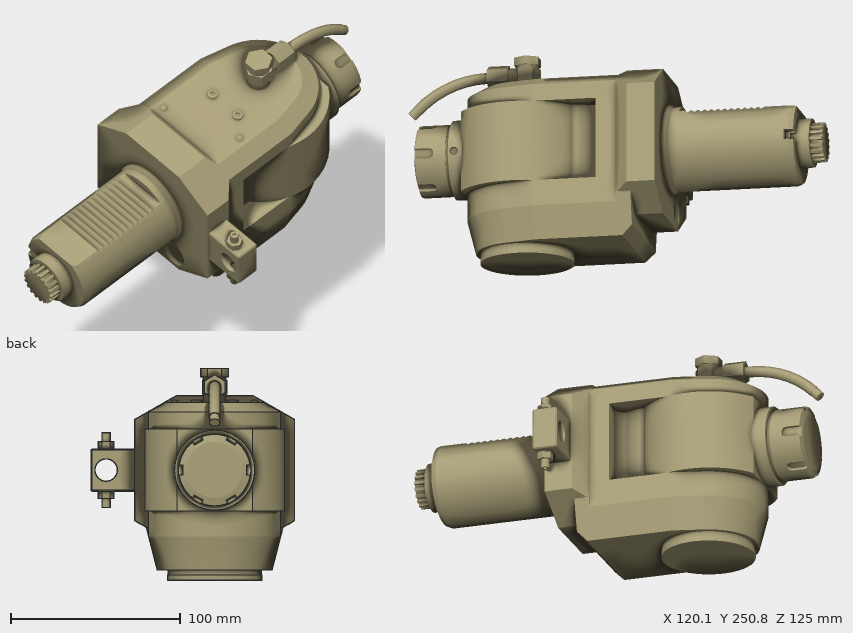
import cadquery as cq
import math


flange_half_width = 47.1
flange_half_height = 43.9
flange_flat_half_width = 22.5
flange_side_half_height = 29.8
plug_hole_x = 18.3
plug_hole_z = -32.3
plug_hole_radius = 8.8
plug_hole_depth = 2.5

body_back_y = 25.3
body_half_width = 38.9
body_kink_y = 75.5
body_axis_y = 86.0
nose_radius = 35.3
body_top_z = 39.9
body_bottom_z = -59.0
top_bevel_inset = 9.8
bottom_taper_top_z = -39.4
bottom_taper_inset = 5.0
foot_back_y = 16.0
foot_chamfer = 6.0
cover_radius = 27.8
cover_height = 6.0
cover_rim_height = 3.0
cover_rim_step = 0.3

drum_axis_y = 86.7
drum_radius = 41.0
drum_half_height = 24.0
pocket_back_y = 37.0
pocket_fillet = 5.5
pocket_corner_x = 22.0
pocket_wall_x = 25.0
pocket_wall_y = 50.1

spindle_ring_radius = 23.5
spindle_ring_end_y = 129.0
spindle_neck_radius = 20.5
nut_start_y = 131.0
nut_end_y = 150.7
nut_radius = 21.3
nut_face_radius = 16.5
nut_bevel_radius = 21.0
nut_bevel_length = 1.3
nut_edge_taper_length = 1.3
nut_slot_count = 6
nut_slot_width = 6.0
nut_slot_depth = 2.5
nut_slot_end_y = 138.4
pin_hole_y = 125.5
pin_hole_radius = 2.5
pin_hole_depth = 2.5

shank_radius = 25.0
shank_length = 78.5
shank_chamfer_length = 3.0
shank_chamfer_depth = 1.3
collar_radius = 26.3
collar_length = 2.0
collar_taper_end_y = -3.5
flat_z = 19.5
flat_start_y = -8.3
rack_count = 12
rack_pitch = 4.0
rack_first_y = -13.8
rack_groove_half_width = 1.8
rack_groove_depth = 1.5
boss_radius = 14.5
boss_length = 7.5
spline_length = 7.3
spline_root_radius = 10.0
spline_tip_radius = 11.8
spline_tooth_count = 18
spline_tooth_width = 1.8
key_slot_width = 6.0
key_slot_length = 5.5
key_slot_floor_x = 17.8
key_step_width = 4.5
key_step_length = 3.0

bracket_end_x = 73.0
bracket_half_height = 12.5
bracket_start_y = 1.0
bracket_end_y = 16.0
bracket_chamfer = 0.8
bracket_hole_x = 64.0
bracket_hole_radius = 6.5
set_screw_y = 6.0
set_screw_radius = 2.5
set_screw_tip_z = 22.0
set_screw_inner_z = 8.8
set_screw_socket_diameter = 2.5
set_screw_socket_depth = 1.5
set_nut_corner_radius = 4.8
set_nut_height = 4.3

fitting_top_z = 60.0
fitting_neck_radius = 6.8
hex_corner_radius = 8.3
fitting_hex_start_z = 44.9
fitting_hex_end_z = 53.0
fitting_hex_turn = 30.0
fitting_cap_height = 5.0
hose_z = 49.1
hose_neck_radius = 5.0
hose_nut_start_y = 96.8
hose_nut_end_y = 109.3
hose_nut_corner_radius = 7.0
hose_radius = 3.3
hose_bend_start_y = 109.8
hose_bend_radius = 59.0
hose_bend_angle = 45.5
hose_tip_radius = 3.0
hose_tip_length = 5.0

cap_screw_x = 10.8
cap_screw_y = 59.0
cap_screw_radius = 3.3
cap_screw_height = 1.5
cap_screw_fillet = 1.0
cap_screw_socket_diameter = 3.5
cap_screw_socket_depth = 1.0
pin_places = [(23.5, 48.5), (-23.5, 31.3)]
pin_radius = 2.5
pin_height = 1.5


def rod(start, length, radius, direction):
    """Cylinder from a start point along a direction."""
    return cq.Workplane(cq.Solid.makeCylinder(radius, length, cq.Vector(*start), cq.Vector(*direction)))


def y_rod(start_y, end_y, radius):
    """Cylinder on the Y axis."""
    return rod((0, start_y, 0), end_y - start_y, radius, (0, 1, 0))


def y_prism(points, start_y, end_y):
    """Prism of an (x, z) outline between two Y values."""
    plane = cq.Workplane("XZ", origin=(0, start_y, 0))
    return plane.polyline(points).close().extrude(start_y - end_y)


def z_hexagon(x, y, start_z, end_z, corner_radius, turn=0.0):
    """Upright hexagonal prism with a corner at the given angle from +X."""
    base = cq.Workplane("XY").polygon(6, 2 * corner_radius).extrude(end_z - start_z)
    return base.rotate((0, 0, 0), (0, 0, 1), turn).translate((x, y, start_z))


def make_flange():
    bevel_x = flange_half_width - body_half_width
    bevel_z = flange_half_height - body_top_z
    w, h = flange_half_width, flange_half_height
    octagon = [
        (w, flange_side_half_height), (flange_flat_half_width, h),
        (-flange_flat_half_width, h), (-w, flange_side_half_height),
        (-w, -flange_side_half_height), (-flange_flat_half_width, -h),
        (flange_flat_half_width, -h), (w, -flange_side_half_height),
    ]
    prism = y_prism(octagon, 0, body_back_y)
    plan = (
        cq.Workplane("XY", origin=(0, 0, -h))
        .polyline([(-w, 0), (w, 0), (w, body_back_y - bevel_x), (w - bevel_x, body_back_y),
                   (bevel_x - w, body_back_y), (-w, body_back_y - bevel_x)])
        .close().extrude(2 * h)
    )
    side = (
        cq.Workplane("YZ", origin=(-w, 0, 0))
        .polyline([(0, -h), (0, h), (body_back_y - bevel_z, h), (body_back_y, h - bevel_z),
                   (body_back_y, bevel_z - h), (body_back_y - bevel_z, -h)])
        .close().extrude(2 * w)
    )
    return prism.intersect(plan).intersect(side)


def body_wire(z, inset):
    """Arched body outline at a height, offset inward at the sides and nose by the inset.

    The slanted sides run from the kink to their tangent points on the nose arc.
    """
    kink_x = body_half_width
    kink_dy = body_kink_y - body_axis_y
    kink_distance = math.hypot(kink_x, kink_dy)
    normal = math.atan2(kink_dy, kink_x) + math.acos(nose_radius / kink_distance)
    radius = nose_radius - inset
    tangent_x = radius * math.cos(normal)
    tangent_y = body_axis_y + radius * math.sin(normal)
    side_x = body_half_width - inset
    side_y = body_axis_y + (radius - side_x * math.cos(normal)) / math.sin(normal)
    return (
        cq.Workplane("XY", origin=(0, 0, z))
        .moveTo(-side_x, body_back_y)
        .lineTo(side_x, body_back_y)
        .lineTo(side_x, side_y)
        .lineTo(tangent_x, tangent_y)
        .threePointArc((0, body_axis_y + radius), (-tangent_x, tangent_y))
        .lineTo(-side_x, side_y)
        .close()
    ).wires().val()


def make_body():
    slope = (flange_half_height - flange_side_half_height) / (flange_half_width - flange_flat_half_width)
    bevel_z = body_top_z - top_bevel_inset * slope
    levels = [
        (body_bottom_z, bottom_taper_inset),
        (bottom_taper_top_z, 0),
        (bevel_z, 0),
        (body_top_z, top_bevel_inset),
    ]
    wires = [body_wire(z, inset) for z, inset in levels]
    body = cq.Workplane(cq.Solid.makeLoft(wires[:2], True))
    for lower, upper in zip(wires[1:], wires[2:]):
        body = body.union(cq.Workplane(cq.Solid.makeLoft([lower, upper], True)))

    taper = bottom_taper_inset / (bottom_taper_top_z - body_bottom_z)
    diagonal_drop = flange_side_half_height + bottom_taper_top_z + slope * (flange_half_width - body_half_width)
    rise = -diagonal_drop / (1 - slope * taper)
    foot_top_z = bottom_taper_top_z + rise
    foot_top_x = body_half_width + rise * taper
    foot_bottom_x = body_half_width - bottom_taper_inset
    outline = [
        (-foot_top_x, foot_top_z), (foot_top_x, foot_top_z),
        (foot_bottom_x, body_bottom_z), (-foot_bottom_x, body_bottom_z),
    ]
    foot = y_prism(outline, foot_back_y, body_back_y)
    foot = foot.faces("<Y").edges("<Z").chamfer(foot_chamfer)

    rim_z = body_bottom_z - cover_height
    cover = rod((0, body_axis_y, rim_z), cover_height, cover_radius - cover_rim_step, (0, 0, 1))
    rim = rod((0, body_axis_y, rim_z), cover_rim_height, cover_radius, (0, 0, 1))
    return body.union(foot).union(cover).union(rim)


def make_pocket():
    """Recess in the -X side wall, running from its back wall into the drum."""
    outer_x = drum_radius
    fillet_x = pocket_corner_x + pocket_fillet
    fillet_y = pocket_back_y + pocket_fillet
    diagonal = pocket_fillet * math.sqrt(0.5)
    return (
        cq.Workplane("XY", origin=(0, 0, -drum_half_height))
        .moveTo(-outer_x, pocket_back_y)
        .lineTo(-fillet_x, pocket_back_y)
        .threePointArc((-fillet_x + diagonal, fillet_y - diagonal), (-pocket_corner_x, fillet_y))
        .lineTo(-pocket_wall_x, pocket_wall_y)
        .lineTo(-pocket_wall_x, drum_axis_y)
        .lineTo(-outer_x, drum_axis_y)
        .close()
        .extrude(2 * drum_half_height)
    )


def make_drum():
    """Drum cut flat where the spindle leaves the nose."""
    drum = rod((0, drum_axis_y, -drum_half_height), 2 * drum_half_height, drum_radius, (0, 0, 1))
    nose_y = body_axis_y + nose_radius
    limit = cq.Workplane("XY").box(2 * drum_radius, nose_y, 2 * drum_half_height, centered=(True, False, True))
    return drum.intersect(limit)


def make_spindle():
    ring = y_rod(body_axis_y, spindle_ring_end_y, spindle_ring_radius)
    pin_hole = rod((-spindle_ring_radius, pin_hole_y, 0), pin_hole_depth, pin_hole_radius, (1, 0, 0))
    neck = y_rod(body_axis_y, nut_start_y, spindle_neck_radius)
    bevel_y = nut_end_y - nut_bevel_length
    nut = (
        cq.Workplane("XY")
        .polyline([(0, nut_start_y), (nut_radius, nut_start_y),
                   (nut_radius, bevel_y - nut_edge_taper_length), (nut_bevel_radius, bevel_y),
                   (nut_face_radius, nut_end_y), (0, nut_end_y)])
        .close()
        .revolve(360, (0, 0, 0), (0, 1, 0))
    )
    slot_floor = nut_radius - nut_slot_depth
    half_width = nut_slot_width / 2
    slot = (
        cq.Workplane("YZ", origin=(slot_floor, 0, 0))
        .moveTo(nut_end_y, -half_width)
        .lineTo(nut_slot_end_y + half_width, -half_width)
        .threePointArc((nut_slot_end_y, 0), (nut_slot_end_y + half_width, half_width))
        .lineTo(nut_end_y, half_width)
        .close()
        .extrude(2 * nut_slot_depth)
    )
    for i in range(nut_slot_count):
        nut = nut.cut(slot.rotate((0, 0, 0), (0, 1, 0), i * 360 / nut_slot_count))
    return ring.cut(pin_hole).union(neck).union(nut)


def make_shank():
    end_y = -shank_length
    shank = (
        cq.Workplane("XY")
        .polyline([(0, 0), (collar_radius, 0), (collar_radius, -collar_length),
                   (shank_radius, collar_taper_end_y), (shank_radius, end_y + shank_chamfer_length),
                   (shank_radius - shank_chamfer_depth, end_y), (0, end_y)])
        .close()
        .revolve(360, (0, 0, 0), (0, 1, 0))
    )
    flat_length = flat_start_y - end_y
    flat_cut = cq.Workplane("XY").box(
        2 * shank_radius, flat_length, shank_radius, centered=(True, False, False)
    )
    shank = shank.cut(flat_cut.translate((0, end_y, flat_z)))
    for i in range(rack_count):
        y = rack_first_y - i * rack_pitch
        groove = (
            cq.Workplane("YZ", origin=(-shank_radius, 0, 0))
            .polyline([(y - rack_groove_half_width, flat_z), (y, flat_z - rack_groove_depth),
                       (y + rack_groove_half_width, flat_z)])
            .close()
            .extrude(2 * shank_radius)
        )
        shank = shank.cut(groove)
    key_slot = cq.Workplane("XY").box(
        shank_radius - key_slot_floor_x, key_slot_length, key_slot_width, centered=(False, False, True)
    )
    key_step = cq.Workplane("XY").box(
        key_slot_floor_x, key_step_length, key_step_width, centered=(False, False, True)
    )
    shank = shank.cut(key_slot.translate((-shank_radius, end_y, 0)))
    shank = shank.cut(key_step.translate((-key_slot_floor_x, end_y, 0)))

    boss_end_y = end_y - boss_length
    spline_end_y = boss_end_y - spline_length
    drive = y_rod(boss_end_y, end_y + key_slot_length, boss_radius)
    drive = drive.union(y_rod(spline_end_y, boss_end_y, spline_root_radius))
    tooth_base = spline_root_radius / 2
    tooth = cq.Workplane("XY").box(
        spline_tip_radius - tooth_base, spline_length, spline_tooth_width, centered=(False, False, True)
    ).translate((tooth_base, spline_end_y, 0))
    for i in range(spline_tooth_count):
        drive = drive.union(tooth.rotate((0, 0, 0), (0, 1, 0), i * 360 / spline_tooth_count))
    return shank.union(drive)


def make_bracket():
    bracket = (
        cq.Workplane("XY")
        .box(bracket_end_x - flange_half_width, bracket_end_y - bracket_start_y, 2 * bracket_half_height,
             centered=(False, False, True))
        .translate((flange_half_width, bracket_start_y, 0))
        .edges("|X or >X").chamfer(bracket_chamfer)
    )
    bracket = bracket.cut(rod((bracket_hole_x, 0, 0), bracket_end_y, bracket_hole_radius, (0, 1, 0)))
    thread_start = (bracket_hole_x, set_screw_y, -bracket_half_height)
    bracket = bracket.cut(rod(thread_start, 2 * bracket_half_height, set_screw_radius, (0, 0, 1)))
    for side in (1, -1):
        start = (bracket_hole_x, set_screw_y, side * set_screw_inner_z)
        screw = rod(start, set_screw_tip_z - set_screw_inner_z, set_screw_radius, (0, 0, side))
        nut = z_hexagon(bracket_hole_x, set_screw_y, bracket_half_height,
                        bracket_half_height + set_nut_height, set_nut_corner_radius)
        socket = (
            cq.Workplane("XY", origin=(bracket_hole_x, set_screw_y, set_screw_tip_z))
            .polygon(6, set_screw_socket_diameter).extrude(-set_screw_socket_depth)
        )
        if side < 0:
            nut = nut.mirror("XY")
            socket = socket.mirror("XY")
        bracket = bracket.union(nut).union(screw).cut(socket)
    return bracket


def make_fitting():
    post = rod((0, body_axis_y, body_top_z), fitting_top_z - body_top_z, fitting_neck_radius, (0, 0, 1))
    middle = z_hexagon(0, body_axis_y, fitting_hex_start_z, fitting_hex_end_z, hex_corner_radius, fitting_hex_turn)
    cap = z_hexagon(0, body_axis_y, fitting_top_z - fitting_cap_height, fitting_top_z, hex_corner_radius)
    neck = rod((0, body_axis_y, hose_z), hose_nut_start_y - body_axis_y, hose_neck_radius, (0, 1, 0))
    nut_corners = [
        (hose_nut_corner_radius * math.sin(i * math.pi / 3),
         hose_z + hose_nut_corner_radius * math.cos(i * math.pi / 3))
        for i in range(6)
    ]
    nut = y_prism(nut_corners, hose_nut_start_y, hose_nut_end_y)
    angle = math.radians(hose_bend_angle)

    def bend_point(a):
        return (hose_bend_start_y + hose_bend_radius * math.sin(a),
                hose_z - hose_bend_radius * (1 - math.cos(a)))

    path = (
        cq.Workplane("YZ")
        .moveTo(hose_nut_end_y, hose_z)
        .lineTo(hose_bend_start_y, hose_z)
        .threePointArc(bend_point(angle / 2), bend_point(angle))
    )
    hose = cq.Workplane("XZ", origin=(0, hose_nut_end_y, hose_z)).circle(hose_radius).sweep(path)
    tip_y, tip_z = bend_point(angle)
    tip = rod((0, tip_y, tip_z), hose_tip_length, hose_tip_radius, (0, math.cos(angle), -math.sin(angle)))
    return post.union(middle).union(cap).union(neck).union(nut).union(hose).union(tip)


def add_top_hardware(part):
    for x in (-cap_screw_x, cap_screw_x):
        head = (
            cq.Workplane("XY", origin=(x, cap_screw_y, body_top_z))
            .circle(cap_screw_radius).extrude(cap_screw_height)
            .faces(">Z").edges().fillet(cap_screw_fillet)
            .faces(">Z").workplane().polygon(6, cap_screw_socket_diameter).cutBlind(-cap_screw_socket_depth)
        )
        part = part.union(head)
    sphere_radius = (pin_radius ** 2 + pin_height ** 2) / (2 * pin_height)
    for x, y in pin_places:
        pin = cq.Workplane("XY").sphere(sphere_radius)
        part = part.union(pin.translate((x, y, body_top_z + pin_height - sphere_radius)))
    return part


pocket = make_pocket()
result = make_flange().union(make_body()).cut(pocket).cut(pocket.mirror("YZ")).union(make_drum())
result = result.cut(rod((plug_hole_x, 0, plug_hole_z), plug_hole_depth, plug_hole_radius, (0, 1, 0)))
for feature in (make_spindle(), make_shank(), make_bracket(), make_fitting()):
    result = result.union(feature)
result = add_top_hardware(result)